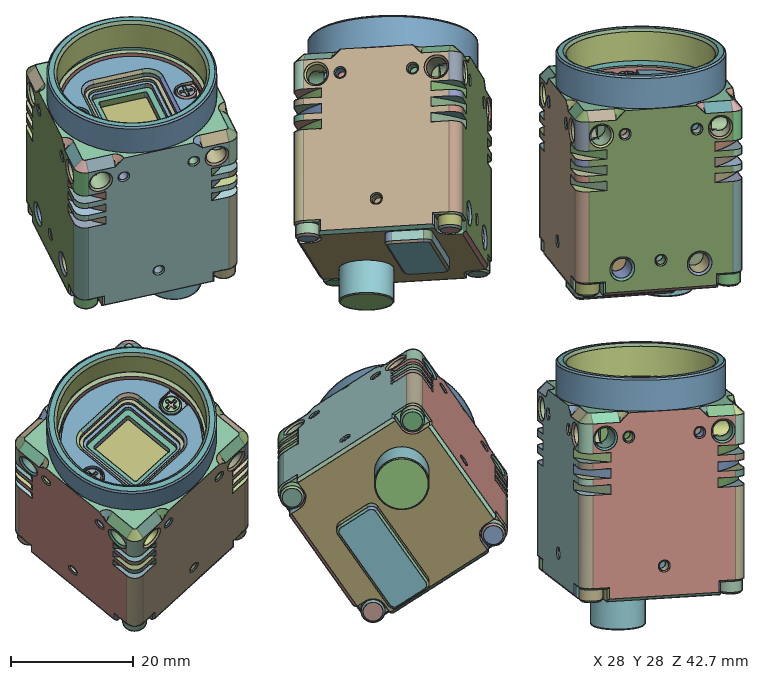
import cadquery as cq
import math

housing_side = 28.0
housing_height = 31.5
corner_radius = 1.92
bottom_chamfer = 0.55
half_side = housing_side / 2
tolerance = 0.005

bevel_size = 1.5
bevel_length = 6.5
bevel_base = housing_height - bevel_size

ring_radius = 13.88
ring_height = 5.45
ring_chamfer = 0.3
ring_top = housing_height + ring_height
thread_radius = 12.2
thread_chamfer = 0.45
relief_radius = thread_radius + thread_chamfer
ledge_z = 30.57
well_radius = 11.85

plate_radius = 11.57
plate_top = 30.15
notch_depth = 0.6
notch_half_width = 1.95
notch_floor = plate_top - notch_depth
notch_mouth_fillet = 0.35
gap_depth = 0.85
gap_floor = plate_top - gap_depth
screw_offset = 9.35

screw_radius = 1.7
screw_chamfer = 0.3
screw_rise = 0.1
screw_top = plate_top + screw_rise
cross_length = 2.15
cross_floor_length = 1.45
cross_width = 0.5
cross_depth = 0.43

window_chamfer = 0.5
window_steps = [
    (13.85, 12.9, 2.2, 28.85),
    (12.72, 11.55, 1.62, 28.35),
    (11.55, 10.35, 0.95, 27.5),
    (9.55, 8.3, 0.35, 26.25),
]

groove_floor_radius = 16.7
groove_height = 1.6
groove_pitch = 2.7
groove_middle_z = 21.55

large_hole_size = (3.4, 4.05, 4.45)
small_hole_size = (1.6, 2.0, 2.15)
upper_hole_z = 27.5
large_hole_offset = 10.0
small_hole_offset = 6.0
lower_small_z = 5.5
lower_large_size = (3.37, 4.15, 4.45)
lower_large_offset = 6.5
lower_large_z = 4.5

pocket_height = 2.18
pocket_chamfer = 0.3
cover_screw_offset = 11.83
cover_screw_radius = 1.95
cover_screw_chamfer = 0.35
pocket_radius = 2.2

socket_x_range = (-13.05, 4.05)
socket_y_range = (-8.9, -1.05)
socket_height = 2.0
socket_corner_radius = 1.25
socket_chamfer = 0.4
plug_centre = (5.42, 5.42)
plug_radius = 4.5
plug_length = 5.72
plug_chamfer = 0.15


def disc(radius, bottom, top, centre=(0, 0)):
    return cq.Workplane("XY", origin=(*centre, bottom)).circle(radius).extrude(top - bottom)


def rounded_block(length, width, radius, bottom, top):
    block = cq.Workplane("XY", origin=(0, 0, bottom)).rect(length, width).extrude(top - bottom)
    return block.edges("|Z").fillet(radius)


def four_turns(shape):
    """The shape and its copies turned onto the other three corners or sides of the housing."""
    turned = shape
    for quarter in range(1, 4):
        turned = turned.add(shape.rotate((0, 0, 0), (0, 0, 1), 90 * quarter).vals())
    return turned.combine()


def corner_pocket():
    """Round pocket about a cover screw, open to both sides of its corner."""
    edge = cover_screw_offset
    far = half_side + corner_radius
    inner = edge - pocket_radius
    bend = edge - pocket_radius * math.sqrt(0.5)
    return (
        cq.Workplane("XY")
        .moveTo(far, far)
        .lineTo(inner, far)
        .lineTo(inner, edge)
        .threePointArc((bend, bend), (edge, inner))
        .lineTo(far, inner)
        .close()
        .extrude(pocket_height)
    )


def on_pocket_rim(edge):
    """True for the edges where a corner pocket opens through the outside of the housing."""
    box = edge.BoundingBox()
    centre = edge.Center()
    near_outside = max(abs(centre.x), abs(centre.y)) > half_side - corner_radius / 2
    on_pocket = box.zmax < pocket_height + tolerance
    reaches_roof = box.zmax > pocket_height - tolerance
    return near_outside and on_pocket and reaches_roof


def housing():
    body = rounded_block(housing_side, housing_side, corner_radius, 0, housing_height)
    body = body.faces("<Z").chamfer(bottom_chamfer)
    body = body.cut(four_turns(corner_pocket()))
    rim = body.edges().filter(on_pocket_rim)
    return rim.chamfer(pocket_chamfer)


def bevel_end():
    """Quarter cone, point down, that ends the bevel at the -X end of the +Y side."""
    profile = (
        cq.Workplane("YZ", origin=(bevel_length - half_side, half_side, bevel_base))
        .lineTo(-bevel_size, bevel_size)
        .lineTo(0, bevel_size)
        .close()
    )
    return profile.revolve(90, (0, 0, 0), (0, 1, 0))


def corner_bevels():
    """Bevel cutter for the top edges; each stretch runs out in a cone."""
    slab = rounded_block(housing_side, housing_side, corner_radius, 0, housing_height)
    wedge = slab.cut(slab.faces(">Z").chamfer(bevel_size))
    reach = half_side - bevel_length / 2
    corner = cq.Workplane("XY", origin=(reach, reach, bevel_base)).rect(bevel_length, bevel_length)
    cutter = wedge.intersect(four_turns(corner.extrude(bevel_size)))
    for end in (bevel_end(), bevel_end().mirror("YZ")):
        cutter = cutter.union(four_turns(end))
    return cutter


def grooves():
    """Cutters that leave only what lies inside the groove floor cylinder."""
    shell = rounded_block(2 * housing_side, 2 * housing_side, corner_radius, 0, groove_height)
    shell = shell.cut(disc(groove_floor_radius, 0, groove_height))
    levels = [groove_middle_z + step * groove_pitch for step in (-1, 0, 1)]
    return [shell.translate((0, 0, level - groove_height / 2)) for level in levels]


def side_hole(offset, height, size):
    """Countersunk blind hole in the -Y side."""
    diameter, sink_diameter, depth = size
    radius = diameter / 2
    sink_radius = sink_diameter / 2
    profile = (
        cq.Workplane("XY")
        .moveTo(0, 0)
        .lineTo(sink_radius, 0)
        .lineTo(radius, sink_radius - radius)
        .lineTo(radius, depth)
        .lineTo(0, depth)
        .close()
    )
    return profile.revolve(360, (0, 0, 0), (0, 1, 0)).translate((offset, -half_side, height))


def mount_bore():
    """Threaded bore with a relief below the thread and a well for the sensor plate."""
    profile = (
        cq.Workplane("XZ")
        .moveTo(0, ring_top)
        .lineTo(thread_radius + thread_chamfer, ring_top)
        .lineTo(thread_radius, ring_top - thread_chamfer)
        .lineTo(thread_radius, housing_height)
        .lineTo(relief_radius, housing_height)
        .lineTo(relief_radius, ledge_z)
        .lineTo(well_radius, ledge_z)
        .lineTo(well_radius, gap_floor)
        .lineTo(0, gap_floor)
        .close()
    )
    return profile.revolve(360, (0, 0, 0), (0, 1, 0))


def at_notch_mouth(edge):
    """True for the edges where a screw notch opens through the rim of the plate."""
    centre = edge.Center()
    on_rim = math.hypot(centre.x, centre.y) > plate_radius - tolerance
    return on_rim and abs(centre.x) < 2 * notch_half_width


def sensor_plate():
    plate = disc(plate_radius, gap_floor, plate_top)
    for side in (1, -1):
        notch = disc(notch_half_width, notch_floor, plate_top, (0, side * screw_offset))
        mouth = (
            cq.Workplane("XY", origin=(0, side * (screw_offset + notch_half_width), notch_floor))
            .rect(2 * notch_half_width, 2 * notch_half_width)
            .extrude(notch_depth)
        )
        plate = plate.cut(notch).cut(mouth)
    return plate.edges("|Z").filter(at_notch_mouth).fillet(notch_mouth_fillet)


def plate_screw(side):
    centre = (0, side * screw_offset)
    head = disc(screw_radius, notch_floor, screw_top, centre).faces(">Z").chamfer(screw_chamfer)
    arm = (
        cq.Workplane("XZ", origin=(*centre, screw_top))
        .moveTo(-cross_length / 2, 0)
        .lineTo(cross_length / 2, 0)
        .lineTo(cross_floor_length / 2, -cross_depth)
        .lineTo(-cross_floor_length / 2, -cross_depth)
        .close()
        .extrude(cross_width / 2, both=True)
    )
    other_arm = arm.rotate((*centre, 0), (*centre, 1), 90)
    head = head.cut(arm).cut(other_arm)
    return head


def sensor_window():
    """Stepped window cutter with a bevelled mouth."""
    length, width, radius, _ = window_steps[0]
    mouth = cq.Sketch().rect(length, width).vertices().fillet(radius)
    base = cq.Workplane("XY", origin=(0, 0, plate_top - window_chamfer))
    cutter = base.placeSketch(mouth).extrude(window_chamfer, taper=-45)
    for length, width, radius, floor in window_steps:
        cutter = cutter.union(rounded_block(length, width, radius, floor, plate_top))
    return cutter


def cover_screws():
    centre = (cover_screw_offset, cover_screw_offset)
    screw = disc(cover_screw_radius, 0, pocket_height, centre).faces("<Z").chamfer(cover_screw_chamfer)
    return four_turns(screw)


def socket():
    length = socket_x_range[1] - socket_x_range[0]
    width = socket_y_range[1] - socket_y_range[0]
    block = rounded_block(length, width, socket_corner_radius, -socket_height, 0)
    block = block.faces("<Z").chamfer(socket_chamfer)
    return block.translate((sum(socket_x_range) / 2, sum(socket_y_range) / 2, 0))


def plug():
    return disc(plug_radius, -plug_length, 0, plug_centre).faces("<Z").chamfer(plug_chamfer)


result = housing().cut(corner_bevels())
for groove in grooves():
    result = result.cut(groove)

for sign in (-1, 1):
    result = result.cut(four_turns(side_hole(sign * large_hole_offset, upper_hole_z, large_hole_size)))
    result = result.cut(four_turns(side_hole(sign * small_hole_offset, upper_hole_z, small_hole_size)))
    result = result.cut(side_hole(sign * lower_large_offset, lower_large_z, lower_large_size))
result = result.cut(four_turns(side_hole(0, lower_small_z, small_hole_size)))

ring = disc(ring_radius, housing_height, ring_top).faces(">Z").chamfer(ring_chamfer)
result = result.union(ring).cut(mount_bore())
result = result.union(sensor_plate()).cut(sensor_window())
for sign in (-1, 1):
    result = result.union(plate_screw(sign))
result = result.union(cover_screws()).union(socket()).union(plug())